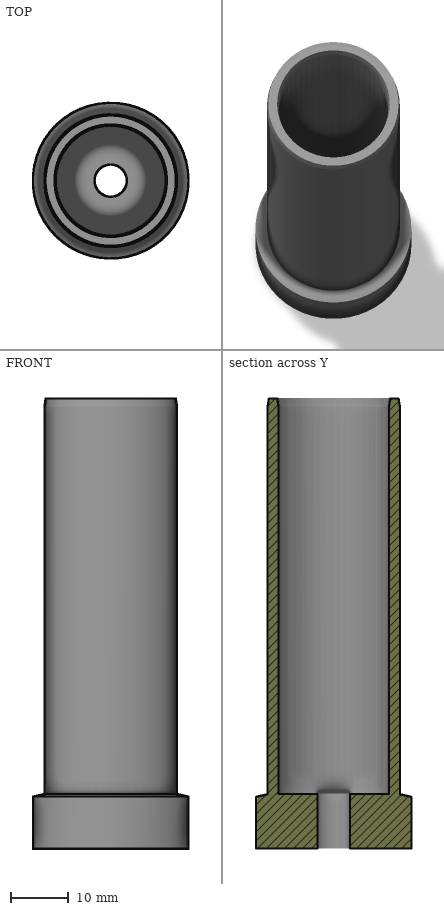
import cadquery as cq

total_height = 78.0
flange_diameter = 27.0
flange_rim_height = 9.05
flange_slope_rise = 0.5
tube_diameter = 23.0
bore_diameter = 19.0
through_hole_diameter = 5.5
mouth_taper_height = 1.5
mouth_taper_width = 0.2

flange_radius = flange_diameter / 2
tube_radius = tube_diameter / 2
bore_radius = bore_diameter / 2
hole_radius = through_hole_diameter / 2
shoulder_height = flange_rim_height + flange_slope_rise
floor_height = shoulder_height
taper_start = total_height - mouth_taper_height

half_section = [
    (hole_radius, 0),
    (flange_radius, 0),
    (flange_radius, flange_rim_height),
    (tube_radius, shoulder_height),
    (tube_radius, taper_start),
    (tube_radius - mouth_taper_width, total_height),
    (bore_radius + mouth_taper_width, total_height),
    (bore_radius, taper_start),
    (bore_radius, floor_height),
    (hole_radius, floor_height),
]

result = cq.Workplane("XZ").polyline(half_section).close().revolve(360, (0, 0, 0), (0, 1, 0))